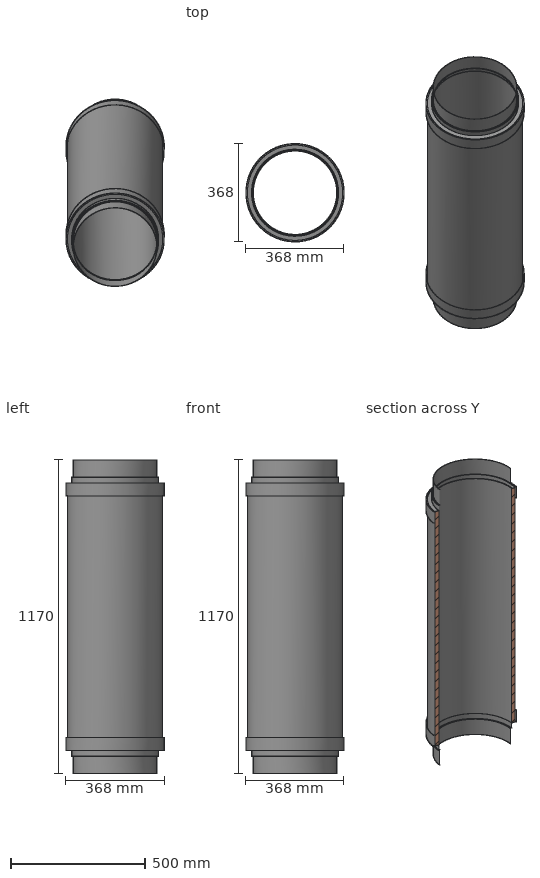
import cadquery as cq

total_length = 1170.0
sheet = 1.0
neck_wall = 2.0

spigot_radius = 157.0
collar_radius = 163.0
shell_radius = 178.0
rim_radius = 184.0

spigot_length = 64.0
collar_length = 21.0
rim_length = 49.0

spigot_bore = spigot_radius - sheet
collar_bore = collar_radius - sheet
rim_bore = rim_radius - sheet
duct_bore = collar_bore - neck_wall

end_z = total_length / 2
collar_top_z = end_z - spigot_length
step_bottom_z = collar_top_z - sheet
plate_top_z = collar_top_z - collar_length
plate_bottom_z = plate_top_z - sheet
rim_bottom_z = plate_top_z - rim_length


def tube(outer_radius, inner_radius, bottom_z, top_z):
    """Straight tube around Z between two heights."""
    return (
        cq.Workplane("XY", origin=(0, 0, bottom_z))
        .circle(outer_radius)
        .circle(inner_radius)
        .extrude(top_z - bottom_z)
    )


def make_duct():
    """Thick-walled duct with a neck at each end that fills the collar of the cap."""
    necks = tube(collar_bore, duct_bore, -step_bottom_z, step_bottom_z)
    wall = tube(shell_radius, duct_bore, -plate_bottom_z, plate_bottom_z)
    return necks.union(wall)


def make_top_cap():
    """Sheet metal cap: spigot, stepped collar, annular plate and a rim standing clear of the duct."""
    spigot = tube(spigot_radius, spigot_bore, step_bottom_z, end_z)
    step = tube(collar_radius, spigot_bore, step_bottom_z, collar_top_z)
    collar = tube(collar_radius, collar_bore, plate_bottom_z, collar_top_z)
    plate = tube(rim_radius, collar_bore, plate_bottom_z, plate_top_z)
    rim = tube(rim_radius, rim_bore, rim_bottom_z, plate_top_z)
    return spigot.union(step).union(collar).union(plate).union(rim)


duct = make_duct()

top_cap = make_top_cap()
caps = [top_cap, top_cap.mirror("XY")]

result = cq.Compound.makeCompound([duct.val(), *[cap.val() for cap in caps]])